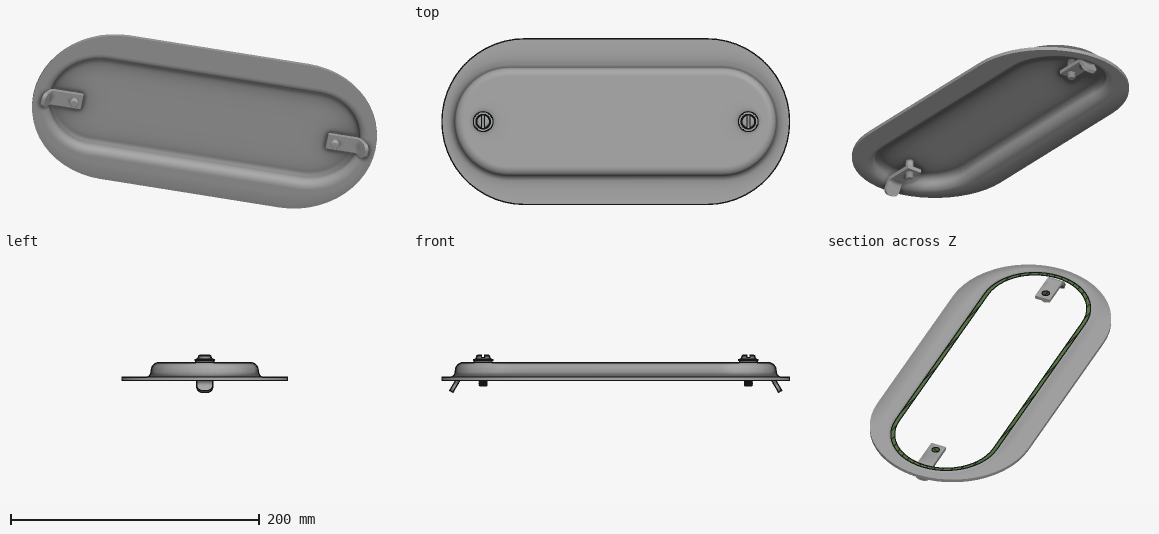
import cadquery as cq
import math

length = 279.5
width = 133.3
sheet = 2.8
cover_height = 14.5
pan_half_width = 47.2
pan_end_gap = 6.7
wall_draft = math.radians(8)
foot_radius = 4.0
rim_radius = 6.5
pan_center_x = length / 2 - pan_end_gap - pan_half_width

screw_x = 106.5
shank_diameter = 6.5
collar_diameter = 14.5
flange_diameter = 16.0
head_diameter = 10.3
crown_diameter = 6.5
collar_height = 1.7
flange_thickness = 0.8
flange_crown = 0.17
head_foot_diameter = 11.7
dome_drop = 1.0
dome_radius = 2.5
screw_top = 20.7
slot_width = 2.5
slot_depth = 2.0
screw_tip = -4.2
thread_pitch = 1.25
thread_depth = 0.5
thread_count = 3

clip_width = 12.9
clip_thickness = 3.0
clip_lean = math.radians(30)
clip_bottom = 0.5
clip_tail = 6.5
clip_heel_x = 125.0
clip_inner_bend = 2.8
clip_corner = 4.7
clip_tip = -9.5


def pan_section(inset):
    """Half section (radius, Z) of the pan, from the axis out to the wall, moved in by `inset`."""
    foot = foot_radius + inset
    rim = rim_radius - inset
    base_z = sheet - inset
    top_z = cover_height - inset
    across = math.cos(wall_draft)
    rise = 1 - math.sin(wall_draft)
    half_turn = (math.pi / 2 - wall_draft) / 2
    foot_end = (pan_half_width - foot * across, base_z + foot * rise)
    foot_mid = (pan_half_width - foot * math.sin(half_turn), base_z + foot * (1 - math.cos(half_turn)))
    rim_start_z = top_z - rim * rise
    rim_start = (foot_end[0] - (rim_start_z - foot_end[1]) * math.tan(wall_draft), rim_start_z)
    rim_end = (rim_start[0] - rim * across, top_z)
    rim_mid = (rim_end[0] + rim * math.sin(half_turn), top_z - rim * (1 - math.cos(half_turn)))
    return (
        cq.Workplane("YZ")
        .moveTo(0, base_z)
        .lineTo(pan_half_width, base_z)
        .threePointArc(foot_mid, foot_end)
        .lineTo(*rim_start)
        .threePointArc(rim_mid, rim_end)
        .lineTo(0, top_z)
        .close()
    )


def pan_form(inset):
    """Solid pan shape: a straight middle between two half-round ends."""
    half_middle = pan_section(inset).extrude(pan_center_x, both=True)
    form = half_middle.union(half_middle.mirror("XZ"))
    end = pan_section(inset).revolve(360, (0, 0, 0), (0, 1, 0))
    for side in (-1, 1):
        form = form.union(end.translate((side * pan_center_x, 0, 0)))
    return form


def make_cover():
    flange = cq.Workplane("XY").slot2D(length, width).extrude(sheet)
    holes = (
        cq.Workplane("XY")
        .pushPoints([(-screw_x, 0), (screw_x, 0)])
        .circle(shank_diameter / 2)
        .extrude(cover_height)
    )
    return flange.union(pan_form(0)).cut(pan_form(sheet)).cut(holes)


def make_screw():
    """Screw on the Z axis."""
    collar_top = cover_height + collar_height
    flange_top = collar_top + flange_thickness
    dome_base = screw_top - dome_drop
    head_radius = head_diameter / 2
    shank_radius = shank_diameter / 2
    root_radius = shank_radius - thread_depth
    outline = cq.Workplane("XZ").moveTo(0, screw_tip).lineTo(root_radius, screw_tip)
    for turn in range(thread_count):
        root_z = screw_tip + turn * thread_pitch
        outline = (
            outline
            .lineTo(shank_radius, root_z + thread_pitch / 2)
            .lineTo(root_radius, root_z + thread_pitch)
        )
    screw = (
        outline
        .lineTo(shank_radius, screw_tip + (thread_count + 0.5) * thread_pitch)
        .lineTo(shank_radius, cover_height)
        .lineTo(collar_diameter / 2, cover_height)
        .lineTo(collar_diameter / 2, collar_top)
        .lineTo(flange_diameter / 2, collar_top)
        .lineTo(flange_diameter / 2, flange_top)
        .lineTo(head_foot_diameter / 2, flange_top + flange_crown)
        .lineTo(head_radius, dome_base)
        .radiusArc((crown_diameter / 2, screw_top), -dome_radius)
        .lineTo(0, screw_top)
        .close()
        .revolve(360, (0, 0, 0), (0, 1, 0))
    )
    slot = (
        cq.Workplane("XY", origin=(0, 0, screw_top - slot_depth))
        .rect(slot_width, flange_diameter)
        .extrude(slot_depth)
    )
    return screw.cut(slot)


def make_clip():
    """Clip for the +X screw, its leg leaning towards +X."""
    clip_top = clip_bottom + clip_thickness
    out = math.sin(clip_lean)
    down = math.cos(clip_lean)
    leg_length = (clip_bottom - clip_tip) / down
    heel = (clip_heel_x, clip_bottom)
    toe = (heel[0] + leg_length * out, clip_tip)
    toe_outer = (toe[0] + clip_thickness * down, toe[1] + clip_thickness * out)
    shoulder_x = heel[0] + clip_thickness * math.tan((math.pi / 2 - clip_lean) / 2)
    strap = (
        cq.Workplane("XZ")
        .polyline([(screw_x - clip_tail, clip_bottom), heel, toe, toe_outer,
                   (shoulder_x, clip_top), (screw_x - clip_tail, clip_top)])
        .close()
        .extrude(clip_width / 2, both=True)
    )
    bend_inside = cq.selectors.NearestToPointSelector((heel[0], 0, clip_bottom))
    bend_outside = cq.selectors.NearestToPointSelector((shoulder_x, 0, clip_top))
    strap = strap.edges(bend_inside).fillet(clip_inner_bend)
    strap = strap.edges(bend_outside).fillet(clip_inner_bend + clip_thickness)
    toe_middle = ((toe[0] + toe_outer[0]) / 2, (toe[1] + toe_outer[1]) / 2)
    for side in (-1, 1):
        corner = cq.selectors.NearestToPointSelector((toe_middle[0], side * clip_width / 2, toe_middle[1]))
        strap = strap.edges(corner).fillet(clip_corner)
    hole = (
        cq.Workplane("XY", origin=(screw_x, 0, clip_bottom))
        .circle(shank_diameter / 2)
        .extrude(clip_thickness)
    )
    return strap.cut(hole)


cover = make_cover()
screws = [make_screw().translate((side * screw_x, 0, 0)) for side in (-1, 1)]
clips = [make_clip().rotate((0, 0, 0), (0, 0, 1), angle) for angle in (0, 180)]

result = cq.Compound.makeCompound([
    cover.val(),
    *[screw.val() for screw in screws],
    *[clip.val() for clip in clips],
])